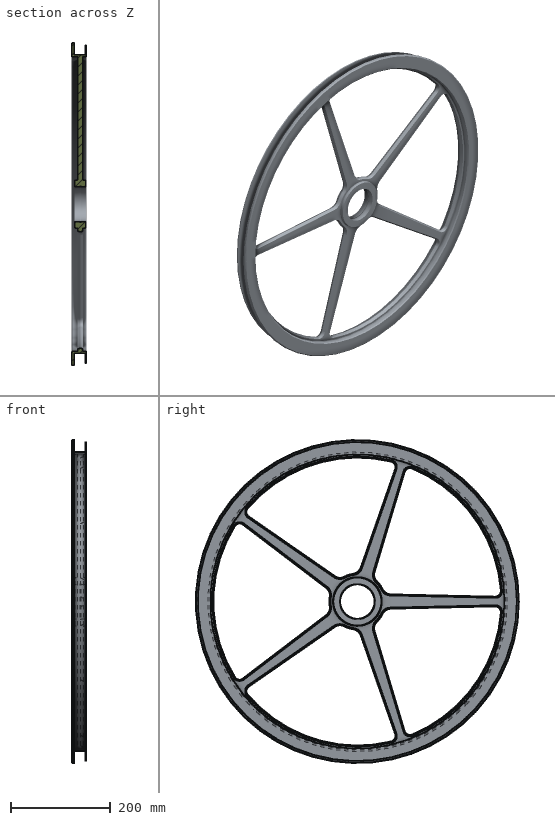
import cadquery as cq
import math

outer_radius = 324.0
wheel_width = 30.0
front_flange_width = 6.0
front_flange_chamfer = 2.0
back_flange_radius = 319.5
back_flange_width = 2.5
channel_radius = 300.0
rim_bore_radius = 295.0
rim_bore_chamfer = 2.0
bevel_angle = 45

middle_plane = 17.5
web_thickness = 11.5
web_draft = 25.0

hub_width = 23.0
hub_radius = 48.0
hub_draft = 12.0
hub_bore_radius = 34.5
bore_groove_radius = 35.5
bore_groove_width = 2.0

spoke_count = 5
opening_inner_radius = 56.5
opening_outer_radius = 288.5
spoke_hub_width = 30.0
spoke_rim_width = 19.5
hub_fillet = 18.0
rim_fillet = 11.0

web_front = middle_plane - web_thickness / 2
web_back = middle_plane + web_thickness / 2
hub_front = middle_plane - hub_width / 2


def disc(radius, start, end, taper=0):
    """Disc about the X axis running from start to end, shrinking towards end by the taper angle."""
    return cq.Workplane("YZ", origin=(start, 0, 0)).circle(radius).extrude(end - start, taper=taper)


def make_rim():
    front_flange = disc(outer_radius, 0, front_flange_width)
    front_flange = front_flange.faces("<X").edges().chamfer(front_flange_chamfer)
    back_flange = disc(back_flange_radius, wheel_width - back_flange_width, wheel_width)
    return disc(channel_radius, 0, wheel_width).union(front_flange).union(back_flange)


def cut_rim_recesses(rim):
    """Hollow the rim from both sides down to the web and bevel its front inner edge."""
    front_recess = disc(rim_bore_radius, 0, web_front)
    back_recess = disc(rim_bore_radius, web_back, wheel_width)
    front_lip = disc(rim_bore_radius + rim_bore_chamfer, 0, rim_bore_chamfer, bevel_angle)
    return rim.cut(front_recess).cut(back_recess).cut(front_lip)


def make_opening():
    """Opening between two spokes, centred on +Y and widening from the middle plane to both web faces."""
    half_pitch = math.pi / spoke_count

    def corner(radius, half_width):
        angle = half_pitch - math.asin(half_width / radius)
        return radius * math.cos(angle), radius * math.sin(angle)

    inner_y, inner_z = corner(opening_inner_radius, spoke_hub_width / 2)
    outer_y, outer_z = corner(opening_outer_radius, spoke_rim_width / 2)
    depth = web_thickness / 2
    blank = (
        cq.Workplane("YZ", origin=(middle_plane, 0, 0))
        .moveTo(inner_y, -inner_z)
        .lineTo(outer_y, -outer_z)
        .threePointArc((opening_outer_radius, 0), (outer_y, outer_z))
        .lineTo(inner_y, inner_z)
        .threePointArc((opening_inner_radius, 0), (inner_y, -inner_z))
        .close()
        .extrude(depth)
    )
    blank = blank.edges("<Y").edges("|X").fillet(hub_fillet)
    blank = blank.edges("|X").edges(">Z or <Z").fillet(rim_fillet)
    outline = blank.faces("<X").wires().val()
    back_half = cq.Workplane("YZ", origin=(middle_plane, 0, 0)).add(outline).toPending()
    back_half = back_half.extrude(depth, taper=-web_draft)
    return back_half.union(back_half.mirror("YZ", (middle_plane, 0, 0)))


def cut_openings(wheel):
    opening = make_opening()
    pitch = 360 / spoke_count
    for index in range(spoke_count):
        wheel = wheel.cut(opening.rotate((0, 0, 0), (1, 0, 0), (index + 0.5) * pitch))
    return wheel


def make_hub():
    """Hub barrel, widening from both end faces to the middle plane."""
    front_half = disc(hub_radius, hub_front, middle_plane, -hub_draft)
    return front_half.union(front_half.mirror("YZ", (middle_plane, 0, 0)))


def cut_bore(wheel):
    groove_front = middle_plane - bore_groove_width / 2
    groove = disc(bore_groove_radius, groove_front, groove_front + bore_groove_width)
    return wheel.cut(disc(hub_bore_radius, 0, wheel_width)).cut(groove)


wheel = cut_openings(cut_rim_recesses(make_rim()))
result = cut_bore(wheel.union(make_hub()))